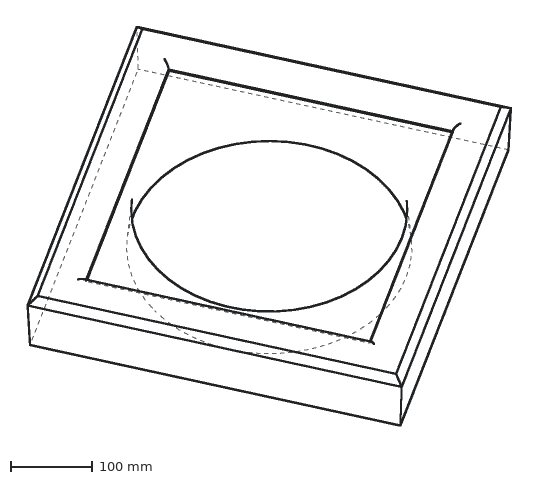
import cadquery as cq
import math

side = 480.0
height = 85.0
edge_bevel = 10.0
base_side = 475.0

recess_side = 383.0
recess_depth = 10.0
rim_radius = 9.0
wall_inset = 1.0

throat_diameter = 340.0
base_diameter = 351.5
lip_radius = 5.5

shoulder_height = height - edge_bevel
floor_height = height - recess_depth
round_start = height - rim_radius
diagonal = math.sqrt(0.5)
wall_side = recess_side - 2 * rim_radius
floor_side = wall_side - 2 * wall_inset


def loft_squares(lower_side, lower_z, upper_side, upper_z):
    """Solid with flat sloping walls between two centred squares."""
    return (
        cq.Workplane("XY", origin=(0, 0, lower_z))
        .rect(lower_side, lower_side)
        .workplane(offset=upper_z - lower_z)
        .rect(upper_side, upper_side)
        .loft(ruled=True)
    )


def make_body():
    """Tapered block with a bevelled upper edge."""
    block = loft_squares(base_side, 0, side, shoulder_height)
    cap = loft_squares(side, shoulder_height, side - 2 * edge_bevel, height)
    return block.union(cap)


def cut_recess(body):
    """Shallow square recess whose rim is rounded over, with mitred corners."""
    lower = loft_squares(floor_side, floor_height, wall_side, round_start)
    upper = (
        cq.Workplane("XY", origin=(0, 0, round_start))
        .rect(recess_side, recess_side)
        .extrude(rim_radius)
    )
    half_wall = wall_side / 2
    half_recess = recess_side / 2
    rim_path = cq.Workplane("XY", origin=(0, 0, round_start)).rect(wall_side, wall_side)
    rim = (
        cq.Workplane("XZ")
        .moveTo(half_wall, round_start)
        .threePointArc(
            (half_recess - rim_radius * diagonal, height - rim_radius * (1 - diagonal)),
            (half_recess, height),
        )
        .lineTo(half_recess, round_start)
        .close()
        .sweep(rim_path, transition="right")
    )
    return body.cut(lower.union(upper.cut(rim)))


def cut_opening(body):
    """Round through opening that widens downwards, with a rounded lip at the recess floor."""
    throat_radius = throat_diameter / 2
    lip_end = floor_height - lip_radius
    opening = (
        cq.Workplane("XZ")
        .lineTo(base_diameter / 2, 0)
        .lineTo(throat_radius, lip_end)
        .threePointArc(
            (throat_radius + lip_radius * (1 - diagonal), lip_end + lip_radius * diagonal),
            (throat_radius + lip_radius, floor_height),
        )
        .lineTo(0, floor_height)
        .close()
        .revolve(360, (0, 0), (0, 1))
    )
    return body.cut(opening)


result = cut_opening(cut_recess(make_body()))